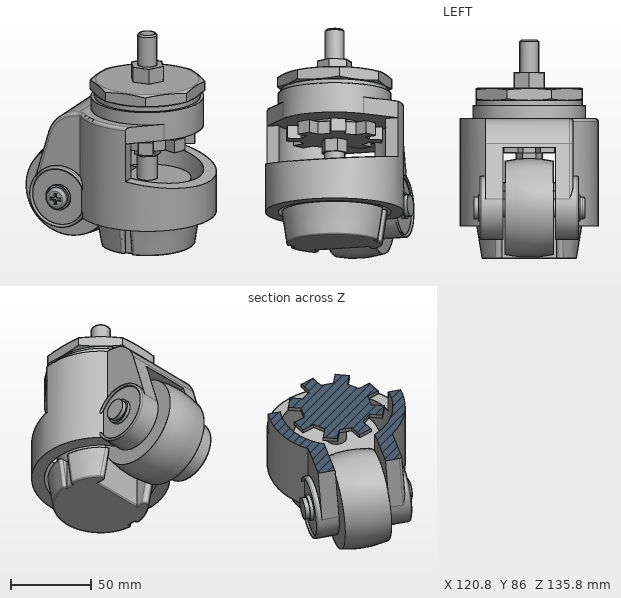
import cadquery as cq
import math


foot_top = 42.0
body_bottom = 20.2
cavity_roof = 76.5
body_top = 87.0
collar_top = 95.0
lock_nut_bottom = 98.0
lock_nut_top = 105.9
stem_nut_top = 115.5
stem_top = 135.8

body_diameter = 86.0
body_radius = body_diameter / 2
collar_radius = 35.0
neck_radius = 33.0
top_round = 2.0
corner_round = 1.4
opening_x = 4.6
floor_inner_z = 51.9
floor_outer_z = 45.2

fork_half_width = 27.2
fork_gap = 32.5
fork_roof = 69.0
shoulder_radius = 21.6
boss_radius = 19.7
boss_length = 61.4
boss_face_length = 58.4
boss_rim_width = 1.8

wheel_x = -47.0
wheel_z = 31.5
wheel_diameter = 61.5
wheel_radius = wheel_diameter / 2
wheel_rim_radius = 29.0
wheel_width = 29.9
axle_radius = 5.5
screw_flange_radius = 8.0
screw_flange_y = 31.5
screw_head_radius = 6.8
screw_head_y = 34.8
screw_head_round = 1.8
cap_y = 34.4
cross_length = 7.0
cross_width = 1.9
cross_depth = 2.0

lock_nut_sides = 8
lock_nut_flats = 66.0
lock_nut_face_radius = 32.0
lock_nut_chamfer_slope = 0.3
stem_nut_flats = 18.9
stem_radius = 6.0
stem_chamfer = 1.1
plate_radius = 14.8
plate_bottom = 74.8
spacer_radius = 11.8
star_top = 73.6
star_bottom = 65.6
star_teeth = 8
star_reach = 29.6
star_tooth_width = 9.2
star_tooth_depth = 8.0
stud_nut_flats = 14.1
stud_nut_bottom = 57.6
stud_radius = 6.4

foot_radius = 32.9
foot_bottom_radius = 29.6
foot_edge_round = 0.8
foot_plug_radius = 27.2
foot_slot_half_width = 17.0
foot_slot_back_x = -15.0
foot_slot_round = 2.5
groove_width = 4.6
groove_floor_y = 27.4
groove_round = 1.8


def disc(radius, bottom, top):
    """Cylinder on the stem axis between two heights."""
    return cq.Workplane("XY").workplane(offset=bottom).circle(radius).extrude(top - bottom)


def prism(sides, flats, bottom, top, turn=0):
    """Regular prism on the stem axis, sized across its flats."""
    corner_diameter = flats / math.cos(math.pi / sides)
    blank = cq.Workplane("XY").workplane(offset=bottom).polygon(sides, corner_diameter)
    return blank.extrude(top - bottom).rotate((0, 0, 0), (0, 0, 1), turn)


def cross_disc(radius, start_y, end_y):
    """Cylinder on the wheel axle between two Y places."""
    plane = cq.Workplane("XZ", origin=(wheel_x, start_y, wheel_z))
    return plane.circle(radius).extrude(start_y - end_y)


def make_fork_blank():
    """Solid fork: a shoulder arc running tangent into the round of the axle boss."""
    shoulder_x = -collar_radius
    shoulder_z = body_top - shoulder_radius
    rise = math.atan2(shoulder_z - wheel_z, shoulder_x - wheel_x)
    spacing = math.hypot(shoulder_x - wheel_x, shoulder_z - wheel_z)
    tangent = rise + math.acos((boss_radius - shoulder_radius) / spacing)
    middle = (tangent + math.pi / 2) / 2

    def on_shoulder(angle):
        return (shoulder_x + shoulder_radius * math.cos(angle), shoulder_z + shoulder_radius * math.sin(angle))

    def on_boss(angle):
        return (wheel_x + boss_radius * math.cos(angle), wheel_z + boss_radius * math.sin(angle))

    lower_angle = -math.asin((wheel_z - body_bottom) / boss_radius)
    outline = (
        cq.Workplane("XZ", origin=(0, fork_half_width, 0))
        .moveTo(0, body_top)
        .lineTo(shoulder_x, body_top)
        .threePointArc(on_shoulder(middle), on_shoulder(tangent))
        .lineTo(*on_boss(tangent))
        .threePointArc(on_boss(math.pi * 1.25), on_boss(lower_angle))
        .lineTo(0, body_bottom)
        .close()
    )
    return outline.extrude(2 * fork_half_width)


def make_body_blank():
    """Round body joined to the fork, ending at the fork shoulder on the -X side."""
    keep_box = cq.Workplane("XY").box(
        body_radius + collar_radius, 2 * body_radius, body_top, centered=(False, True, False)
    ).translate((-collar_radius, 0, 0))
    round_body = disc(body_radius, body_bottom, body_top).intersect(keep_box)
    return round_body.union(make_fork_blank())


def make_opening_cut():
    """Open side at +X: flanks tangent to the collar above, a sloping floor below."""
    far = 2 * body_radius
    start_y = math.sqrt(body_radius**2 - opening_x**2)
    start_angle = math.atan2(start_y, opening_x)
    touch_angle = start_angle - math.acos(collar_radius / body_radius)
    touch_x = collar_radius * math.cos(touch_angle)
    touch_y = collar_radius * math.sin(touch_angle)
    flanks = (
        cq.Workplane("XY")
        .workplane(offset=cavity_roof)
        .polyline([
            (opening_x, -start_y), (touch_x, -touch_y), (touch_x, touch_y),
            (opening_x, start_y), (opening_x, far), (far, far), (far, -far), (opening_x, -far),
        ])
        .close()
        .extrude(body_top - cavity_roof)
    )
    gap = (
        cq.Workplane("XZ", origin=(0, far, 0))
        .polyline([
            (opening_x, cavity_roof), (opening_x, floor_inner_z),
            (body_radius, floor_outer_z), (body_radius, cavity_roof),
        ])
        .close()
        .extrude(2 * far)
    )
    return flanks.union(gap)


def make_boss():
    """Axle boss with a half-round rim standing proud of each end face."""
    rim_round = boss_rim_width / 2
    rim_start = boss_length / 2 - rim_round
    recess_radius = boss_radius - boss_rim_width
    face = boss_face_length / 2
    section = (
        cq.Workplane("YZ", origin=(wheel_x, 0, wheel_z))
        .moveTo(-face, 0)
        .lineTo(-face, recess_radius)
        .lineTo(-rim_start, recess_radius)
        .threePointArc((-boss_length / 2, boss_radius - rim_round), (-rim_start, boss_radius))
        .lineTo(rim_start, boss_radius)
        .threePointArc((boss_length / 2, boss_radius - rim_round), (rim_start, recess_radius))
        .lineTo(face, recess_radius)
        .lineTo(face, 0)
        .close()
    )
    return section.revolve(360, (0, 0, 0), (1, 0, 0))


def make_body():
    """Body and fork with the front outer edge rounded, hollowed for the wheel and star wheel."""
    body = make_body_blank()
    corner_x = -math.sqrt(body_radius**2 - fork_half_width**2)
    corner = cq.selectors.NearestToPointSelector((corner_x, -fork_half_width, (body_bottom + body_top) / 2))
    body = body.edges("|Z").edges(corner).fillet(corner_round)
    body = body.cut(make_opening_cut())
    shoulder_edge = cq.selectors.NearestToPointSelector((-collar_radius, -fork_half_width, body_top))
    body = body.faces(">Z").edges(shoulder_edge).fillet(top_round)

    cavity = disc(collar_radius, 0, cavity_roof)
    wheel_gap = cq.Workplane("XY").box(
        -2 * wheel_x, fork_gap, fork_roof, centered=(True, True, False)
    ).translate((wheel_x, 0, 0))
    body = body.union(make_boss()).cut(cavity).cut(wheel_gap)
    return body.union(disc(collar_radius, cavity_roof, collar_top))


def make_wheel():
    """Crowned wheel on its axle, with a cross-head screw at the front and a plain cap at the back."""
    half = wheel_width / 2
    wheel = (
        cq.Workplane("XY", origin=(wheel_x, 0, wheel_z))
        .moveTo(0, -half)
        .lineTo(wheel_rim_radius, -half)
        .threePointArc((wheel_radius, 0), (wheel_rim_radius, half))
        .lineTo(0, half)
        .close()
        .revolve(360, (0, 0, 0), (0, 1, 0))
    )
    face = boss_face_length / 2
    axle = cross_disc(axle_radius, face, -face)
    screw = cross_disc(screw_head_radius, -face, -screw_head_y).faces("<Y").edges().fillet(screw_head_round)
    screw = screw.union(cross_disc(screw_flange_radius, -face, -screw_flange_y))
    cap = cross_disc(screw_head_radius, cap_y, face)
    cap = cap.union(cross_disc(screw_flange_radius, screw_flange_y, face))
    for length, height in ((cross_length, cross_width), (cross_width, cross_length)):
        recess = cq.Workplane("XY", origin=(wheel_x, -screw_head_y, wheel_z)).box(length, 2 * cross_depth, height)
        screw = screw.cut(recess)
    return wheel.union(axle).union(cap).union(screw)


def make_lock_nut():
    """Octagonal nut with coned corners on both faces."""
    nut = prism(lock_nut_sides, lock_nut_flats, lock_nut_bottom, lock_nut_top, 180 / lock_nut_sides)
    reach = lock_nut_flats
    drop = lock_nut_chamfer_slope * (reach - lock_nut_face_radius)
    cones = (
        cq.Workplane("XZ")
        .polyline([
            (0, lock_nut_bottom), (lock_nut_face_radius, lock_nut_bottom), (reach, lock_nut_bottom + drop),
            (reach, lock_nut_top - drop), (lock_nut_face_radius, lock_nut_top), (0, lock_nut_top),
        ])
        .close()
        .revolve(360, (0, 0, 0), (0, 1, 0))
    )
    return nut.intersect(cones)


def make_star_wheel():
    """Hand wheel with square teeth, half a tooth step away from the X axis."""
    step = 360 / star_teeth
    root = star_reach - star_tooth_depth
    star = prism(star_teeth, 2 * root, star_bottom, star_top, step / 2)
    height = star_top - star_bottom
    tooth = cq.Workplane("XY").box(star_reach, star_tooth_width, height, centered=(False, True, False))
    tooth = tooth.translate((0, 0, star_bottom))
    for number in range(star_teeth):
        star = star.union(tooth.rotate((0, 0, 0), (0, 0, 1), (number + 0.5) * step))
    return star


def make_foot():
    """Tapered foot with a slot that clears the wheel, a groove at front and back, and a plug on top."""
    foot = (
        cq.Workplane("XZ")
        .polyline([(0, 0), (foot_bottom_radius, 0), (foot_radius, body_bottom), (0, body_bottom)])
        .close()
        .revolve(360, (0, 0, 0), (0, 1, 0))
    )
    slot_width = 2 * foot_slot_half_width
    wheel_slot = cq.Workplane("XY").box(
        foot_radius, slot_width, foot_top, centered=(False, True, False)
    ).translate((foot_slot_back_x - foot_radius, 0, 0))
    foot = foot.cut(wheel_slot)
    foot = foot.edges("%HYPERBOLA").fillet(foot_slot_round)
    for side in (-1, 1):
        groove = cq.Workplane("XY").box(
            groove_width, foot_radius, foot_top, centered=(True, True, False)
        ).translate((0, side * (groove_floor_y + foot_radius / 2), 0))
        mouth = cq.selectors.BoxSelector(
            (-groove_width, side * groove_floor_y, 0), (groove_width, side * foot_radius, body_bottom)
        )
        foot = foot.cut(groove)
        foot = foot.edges("%HYPERBOLA").edges(mouth).fillet(groove_round)
    foot = foot.faces("<Z").edges().fillet(foot_edge_round)
    plug = disc(foot_plug_radius, body_bottom, foot_top).cut(wheel_slot)
    return foot.union(plug)


stem = disc(stem_radius, lock_nut_top, stem_top).faces(">Z").chamfer(stem_chamfer)

result = (
    make_body()
    .union(make_wheel())
    .union(disc(neck_radius, collar_top, lock_nut_bottom))
    .union(make_lock_nut())
    .union(prism(6, stem_nut_flats, lock_nut_top, stem_nut_top))
    .union(stem)
    .union(disc(plate_radius, plate_bottom, cavity_roof))
    .union(disc(spacer_radius, star_top, plate_bottom))
    .union(make_star_wheel())
    .union(prism(6, stud_nut_flats, stud_nut_bottom, star_bottom, 30))
    .union(disc(stud_radius, foot_top, stud_nut_bottom))
    .union(make_foot())
)